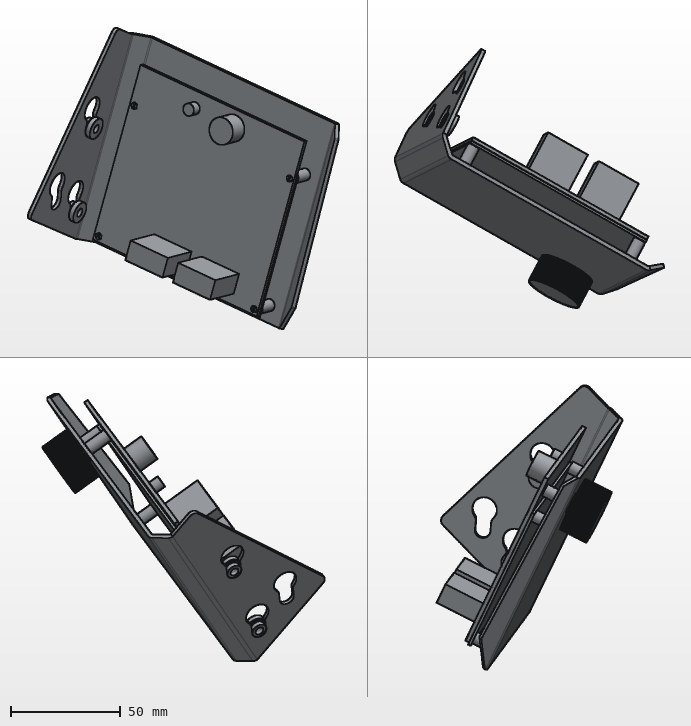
import cadquery as cq
import math


PANEL_LEAN = 25.0

SHEET = 2.0
PANEL_HEIGHT = 102.0
BEND_ANGLE = 45.0
BEND_OUTER_RADIUS = 2.9
BEND_INNER_RADIUS = BEND_OUTER_RADIUS - SHEET
BEND_REACH = BEND_OUTER_RADIUS * math.tan(math.radians(BEND_ANGLE / 2))
BEVEL = 7.7
LIP_FOLD_X = 113.0

FLANGE_TOP_EDGE = 15.4
FLANGE_CORNER_RADIUS = 2.9
EDGE_ANGLE = math.radians(45.0 - PANEL_LEAN)
FLANGE_BOTTOM_EDGE = FLANGE_TOP_EDGE + PANEL_HEIGHT * math.sin(EDGE_ANGLE)

LIP_WIDTH = 11.4
LIP_BOTTOM_RISE = 14.7
LIP_TOP_WIDTH = 6.8
LIP_TOP_DROP = 5.2
LIP_CORNER_RADIUS = 1.0

KEYHOLE_HEAD_DIAMETER = 11.4
KEYHOLE_SLOT_WIDTH = 7.2
KEYHOLE_LENGTH = 10.0
KEYHOLE_TILT = 20.0
KEYHOLE_NECK_RADIUS = 3.0
FRONT_KEYHOLE_Y = 31.8
FRONT_KEYHOLE_Z = 39.4
KEYHOLE_LONG_PITCH = 38.0
KEYHOLE_SHORT_PITCH = 20.0

BUSHING_PLUG_DIAMETER = KEYHOLE_SLOT_WIDTH
BUSHING_PLUG_PROUD = 0.5
BUSHING_COLLAR_DIAMETER = 10.1
BUSHING_COLLAR_LENGTH = 2.9
BUSHING_CHAMFER = 0.5
BUSHING_BORE = 4.0

STANDOFF_DIAMETER = 5.7
STANDOFF_LENGTH = 10.0
MOUNT_HOLE_DIAMETER = 3.0
MOUNT_PITCH_X = 87.8
MOUNT_PITCH_Y = 65.0
BOARD_CENTRE_X = 60.3
LOWER_MOUNT_Y = 8.3
EDGE_MARGIN = 2.5

BOARD_WIDTH = 92.6
DISPLAY_BOARD_THICKNESS = 1.3
DISPLAY_BOARD_HEIGHT = MOUNT_PITCH_Y + 2 * EDGE_MARGIN
DISPLAY_BOARD_DROP = 1.1
MAIN_BOARD_THICKNESS = 2.0
MAIN_BOARD_HEIGHT = 87.0

DISPLAY_BOARD_Z = SHEET + STANDOFF_LENGTH
MAIN_BOARD_Z = DISPLAY_BOARD_Z + DISPLAY_BOARD_THICKNESS
MAIN_BOARD_FRONT = MAIN_BOARD_Z + MAIN_BOARD_THICKNESS

BUTTON_X, BUTTON_Y = 46.9, 84.7
BUTTON_DIAMETER, BUTTON_HEIGHT = 5.8, 5.0
BUZZER_X, BUZZER_Y = 68.8, 83.9
BUZZER_DIAMETER, BUZZER_HEIGHT = 12.8, 9.8
CONNECTOR_LEFT_X = (44.1, 71.0)
CONNECTOR_WIDTH = 21.0
CONNECTOR_BOTTOM = 11.0
CONNECTOR_THICKNESS = 9.8
CONNECTOR_DEPTH = 20.2

SHAFT_X, SHAFT_Y = 91.3, 82.4
SHAFT_DIAMETER = 6.0
SHAFT_HOLE_X = 90.9
SHAFT_HOLE_DIAMETER = 9.6
SHAFT_IN_KNOB = 9.7
KNOB_DIAMETER = 25.9
KNOB_HEIGHT = 13.3
KNOB_GAP = 1.0
KNOB_FLUTES = 120
KNOB_FLUTE_DEPTH = 0.4

MOUNT_POINTS = [
    (BOARD_CENTRE_X + side * MOUNT_PITCH_X / 2, LOWER_MOUNT_Y + row * MOUNT_PITCH_Y)
    for side in (-1, 1)
    for row in (0, 1)
]


def keyhole_heads():
    """(y, z) of the head centres: front, upper and lower keyhole."""
    along_y, along_z = math.cos(EDGE_ANGLE), math.sin(EDGE_ANGLE)
    front = (FRONT_KEYHOLE_Y, FRONT_KEYHOLE_Z)
    upper = (front[0] + KEYHOLE_LONG_PITCH * along_y, front[1] - KEYHOLE_LONG_PITCH * along_z)
    lower = (front[0] - KEYHOLE_SHORT_PITCH * along_z, front[1] - KEYHOLE_SHORT_PITCH * along_y)
    return front, upper, lower


def slot_end(head):
    """(y, z) of the slot end centre of the keyhole with this head centre."""
    tilt = math.radians(KEYHOLE_TILT)
    return (head[0] - KEYHOLE_LENGTH * math.cos(tilt), head[1] - KEYHOLE_LENGTH * math.sin(tilt))


def rod(x, y, z, diameter, length):
    """Round bar standing on the point (x, y, z)."""
    return cq.Workplane("XY", origin=(x, y, z)).circle(diameter / 2).extrude(length)


def bent_sheet():
    """Constant cross-section of flange, bevel, panel and lip, over the panel height and beyond."""
    bend = math.radians(BEND_ANGLE)
    setback = SHEET * math.tan(bend / 2)
    deep = FLANGE_BOTTOM_EDGE + BEVEL
    lip_tip = (LIP_FOLD_X + LIP_WIDTH * math.cos(bend), LIP_WIDTH * math.sin(bend))
    outer_folds = [(0, BEVEL), (BEVEL, 0), (LIP_FOLD_X, 0)]
    inner_folds = [
        (LIP_FOLD_X - setback, SHEET),
        (BEVEL + setback, SHEET),
        (SHEET, BEVEL + setback),
    ]
    inner_tip = (lip_tip[0] - SHEET * math.sin(bend), lip_tip[1] + SHEET * math.cos(bend))
    outline = [(0, deep), *outer_folds, lip_tip, inner_tip, *inner_folds, (SHEET, deep)]
    sheet = (
        cq.Workplane("XZ", origin=(0, 2 * PANEL_HEIGHT, 0))
        .polyline(outline)
        .close()
        .extrude(3 * PANEL_HEIGHT)
    )

    def fold_edges(folds):
        nearest = [cq.selectors.NearestToPointSelector((x, PANEL_HEIGHT / 2, z)) for x, z in folds]
        edges = sheet.edges("|Y")
        return sheet.newObject([edges.edges(selector).val() for selector in nearest])

    sheet = fold_edges(outer_folds).fillet(BEND_OUTER_RADIUS)
    return fold_edges(inner_folds).fillet(BEND_INNER_RADIUS)


def flange_outline():
    """Region kept of the sheet as seen along x, with the free corners rounded."""
    step_z, step_y = math.cos(EDGE_ANGLE), math.sin(EDGE_ANGLE)
    start = BEVEL + BEND_REACH
    top_corner = (PANEL_HEIGHT + FLANGE_TOP_EDGE * step_y, start + FLANGE_TOP_EDGE * step_z)
    front_corner = (FLANGE_BOTTOM_EDGE * step_y, start + FLANGE_BOTTOM_EDGE * step_z)
    outline = [
        (0, 0),
        (PANEL_HEIGHT, 0),
        (PANEL_HEIGHT, start),
        top_corner,
        front_corner,
        (0, start),
    ]
    region = cq.Workplane("YZ").polyline(outline).close().extrude(2 * LIP_FOLD_X)
    for y, z in (top_corner, front_corner):
        corner = cq.selectors.NearestToPointSelector((LIP_FOLD_X, y, z))
        region = region.edges("|X").edges(corner).fillet(FLANGE_CORNER_RADIUS)
    return region


def lip_waste():
    """Material removed beyond the slanted outline of the right-hand lip."""
    bend = math.radians(BEND_ANGLE)
    face = cq.Plane(
        origin=(LIP_FOLD_X, 0, 0),
        xDir=(math.cos(bend), 0, math.sin(bend)),
        normal=(math.sin(bend), 0, -math.cos(bend)),
    )
    direction = face.yDir.y
    outline = [
        (0, 0),
        (BEND_REACH, 0),
        (LIP_WIDTH, LIP_BOTTOM_RISE),
        (LIP_TOP_WIDTH, PANEL_HEIGHT - LIP_TOP_DROP),
        (BEND_REACH, PANEL_HEIGHT),
        (0, PANEL_HEIGHT),
    ]
    kept = (
        cq.Workplane(face)
        .polyline([(across, up * direction) for across, up in outline])
        .close()
        .extrude(2 * SHEET, both=True)
    )
    tips = [face.toWorldCoords((across, up * direction)) for across, up in outline[2:4]]
    for tip in tips:
        corner = cq.selectors.NearestToPointSelector(tip.toTuple())
        across_sheet = cq.selectors.ParallelDirSelector(face.zDir)
        kept = kept.edges(across_sheet).edges(corner).fillet(LIP_CORNER_RADIUS)
    blank = (
        cq.Workplane(face)
        .center(LIP_WIDTH, direction * PANEL_HEIGHT / 2)
        .rect(2 * LIP_WIDTH, 2 * PANEL_HEIGHT)
        .extrude(2 * SHEET, both=True)
    )
    return blank.cut(kept)


def keyhole(head):
    """Cutter with a round head, a slot and rounded necks between them."""
    end = slot_end(head)
    middle = ((head[0] + end[0]) / 2, (head[1] + end[1]) / 2)
    depth = 2 * SHEET
    plane = cq.Workplane("YZ", origin=(-SHEET / 2, 0, 0))
    head_disc = plane.center(*head).circle(KEYHOLE_HEAD_DIAMETER / 2).extrude(depth)
    end_disc = plane.center(*end).circle(KEYHOLE_SLOT_WIDTH / 2).extrude(depth)
    neck = (
        plane.center(*middle)
        .transformed(rotate=(0, 0, KEYHOLE_TILT))
        .rect(KEYHOLE_LENGTH, KEYHOLE_SLOT_WIDTH)
        .extrude(depth)
    )
    cutter = head_disc.union(end_disc).union(neck)
    reach = math.sqrt(KEYHOLE_HEAD_DIAMETER**2 - KEYHOLE_SLOT_WIDTH**2) / 2
    tilt = math.radians(KEYHOLE_TILT)
    for side in (-1, 1):
        offset = side * KEYHOLE_SLOT_WIDTH / 2
        y = head[0] - reach * math.cos(tilt) + offset * math.sin(tilt)
        z = head[1] - reach * math.sin(tilt) - offset * math.cos(tilt)
        corner = cq.selectors.NearestToPointSelector((SHEET / 2, y, z))
        cutter = cutter.edges("|X").edges(corner).fillet(KEYHOLE_NECK_RADIUS)
    return cutter


def make_bracket():
    """Bent sheet with its keyholes, shaft hole and standoffs."""
    bracket = bent_sheet().intersect(flange_outline()).cut(lip_waste())
    for head in keyhole_heads():
        bracket = bracket.cut(keyhole(head))
    bracket = bracket.cut(rod(SHAFT_HOLE_X, SHAFT_Y, 0, SHAFT_HOLE_DIAMETER, SHEET))
    for x, y in MOUNT_POINTS:
        bracket = bracket.union(rod(x, y, SHEET, STANDOFF_DIAMETER, STANDOFF_LENGTH))
    return bracket


def board(height, thickness, z):
    """Plain board with its mounting holes over the standoffs."""
    blank = cq.Workplane("XY").box(BOARD_WIDTH, height, thickness, centered=(True, False, False))
    blank = blank.translate((BOARD_CENTRE_X, LOWER_MOUNT_Y - EDGE_MARGIN, z))
    for x, y in MOUNT_POINTS:
        blank = blank.cut(rod(x, y, z, MOUNT_HOLE_DIAMETER, thickness))
    return blank


def make_display_board():
    """Board resting on the standoffs, set slightly lower than the main board."""
    display = board(DISPLAY_BOARD_HEIGHT, DISPLAY_BOARD_THICKNESS, DISPLAY_BOARD_Z)
    return display.translate((0, -DISPLAY_BOARD_DROP, 0))


def make_main_board():
    """Board with its button, buzzer, two connectors and the knob shaft."""
    main = board(MAIN_BOARD_HEIGHT, MAIN_BOARD_THICKNESS, MAIN_BOARD_Z)
    main = main.union(rod(BUTTON_X, BUTTON_Y, MAIN_BOARD_FRONT, BUTTON_DIAMETER, BUTTON_HEIGHT))
    main = main.union(rod(BUZZER_X, BUZZER_Y, MAIN_BOARD_FRONT, BUZZER_DIAMETER, BUZZER_HEIGHT))
    for left in CONNECTOR_LEFT_X:
        connector = cq.Workplane("XY").box(
            CONNECTOR_WIDTH, CONNECTOR_THICKNESS, CONNECTOR_DEPTH, centered=False
        )
        main = main.union(connector.translate((left, CONNECTOR_BOTTOM, MAIN_BOARD_FRONT)))
    shaft_end = -KNOB_GAP - SHAFT_IN_KNOB
    return main.union(rod(SHAFT_X, SHAFT_Y, shaft_end, SHAFT_DIAMETER, MAIN_BOARD_Z - shaft_end))


def make_knob():
    """Finely fluted knob with a blind hole for the shaft."""
    crest = KNOB_DIAMETER / 2
    root = crest - KNOB_FLUTE_DEPTH
    points = []
    for step in range(2 * KNOB_FLUTES):
        radius = root if step % 2 else crest
        angle = math.pi * step / KNOB_FLUTES
        points.append((radius * math.cos(angle), radius * math.sin(angle)))
    outer_face = cq.Workplane("XY", origin=(SHAFT_X, SHAFT_Y, -KNOB_GAP - KNOB_HEIGHT))
    body = outer_face.polyline(points).close().extrude(KNOB_HEIGHT)
    return body.cut(rod(SHAFT_X, SHAFT_Y, -KNOB_GAP - SHAFT_IN_KNOB, SHAFT_DIAMETER, SHAFT_IN_KNOB))


def make_bushing(head):
    """Collared sleeve seated in the slot end of a keyhole."""
    seat = cq.Workplane("YZ", origin=(SHEET, 0, 0)).center(*slot_end(head))
    collar = seat.circle(BUSHING_COLLAR_DIAMETER / 2).extrude(BUSHING_COLLAR_LENGTH)
    collar = collar.faces("<X").chamfer(BUSHING_CHAMFER)
    plug = seat.circle(BUSHING_PLUG_DIAMETER / 2).extrude(-SHEET - BUSHING_PLUG_PROUD)
    bore = seat.circle(BUSHING_BORE / 2).extrude(2 * BUSHING_COLLAR_LENGTH, both=True)
    return collar.union(plug).cut(bore)


def tilted(body):
    """Turn a body from the flat-panel position to its leaning position."""
    return body.rotate((0, 0, 0), (1, 0, 0), 90.0 - PANEL_LEAN).val()


front_keyhole, upper_keyhole, lower_keyhole = keyhole_heads()
bracket = make_bracket()
display_board = make_display_board()
main_board = make_main_board()
knob = make_knob()
bushings = [make_bushing(head) for head in (upper_keyhole, lower_keyhole)]

result = cq.Compound.makeCompound(
    [tilted(body) for body in (bracket, display_board, main_board, knob, *bushings)]
)